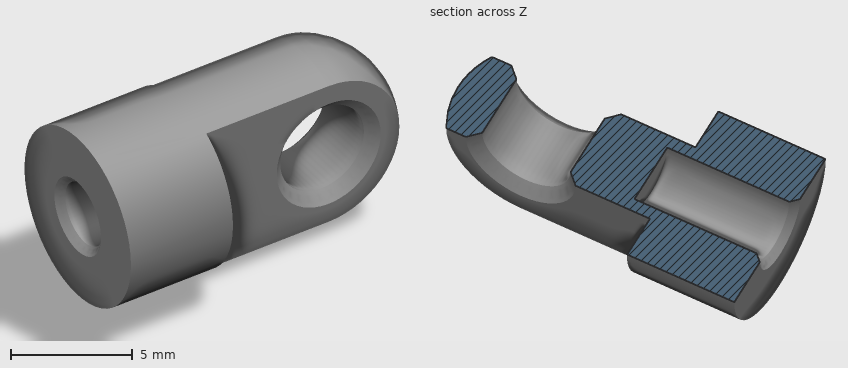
import cadquery as cq

body_diameter = 8.0
overall_length = 15.0
body_radius = body_diameter / 2
dome_center_y = overall_length - body_radius

collar_length = 5.0
tongue_thickness = 4.0

eye_diameter = 4.1
eye_chamfer = 0.5

bore_diameter = 2.85
bore_mouth_diameter = 3.5
bore_depth = 6.0
bore_chamfer = (bore_mouth_diameter - bore_diameter) / 2


def domed_body():
    """Cylinder ending in a hemisphere, revolved about the Y axis."""
    dome_mid = body_radius * 0.5 ** 0.5
    return (
        cq.Workplane("XY")
        .lineTo(body_radius, 0)
        .lineTo(body_radius, dome_center_y)
        .threePointArc((dome_mid, dome_center_y + dome_mid), (0, overall_length))
        .close()
        .revolve(360, (0, 0, 0), (0, 1, 0))
    )


def tongue_side_cut(side):
    """Block that removes one side of the body beyond the collar (side is -1 or +1)."""
    cut_width = body_radius
    cut_length = overall_length - collar_length
    return (
        cq.Workplane("XY")
        .box(cut_width, cut_length, body_diameter)
        .translate((side * (tongue_thickness + cut_width) / 2, collar_length + cut_length / 2, 0))
    )


def chamfered_eye():
    """Through hole along X, widened by a chamfer at both tongue faces."""
    half_thickness = tongue_thickness / 2
    hole_radius = eye_diameter / 2
    mouth_radius = hole_radius + eye_chamfer
    return (
        cq.Workplane("XY")
        .moveTo(-half_thickness, dome_center_y)
        .lineTo(-half_thickness, dome_center_y + mouth_radius)
        .lineTo(-half_thickness + eye_chamfer, dome_center_y + hole_radius)
        .lineTo(half_thickness - eye_chamfer, dome_center_y + hole_radius)
        .lineTo(half_thickness, dome_center_y + mouth_radius)
        .lineTo(half_thickness, dome_center_y)
        .close()
        .revolve(360, (0, dome_center_y, 0), (1, dome_center_y, 0))
    )


def chamfered_bore():
    """Flat-bottomed blind hole along Y with a chamfered mouth."""
    return (
        cq.Workplane("XY")
        .lineTo(bore_mouth_diameter / 2, 0)
        .lineTo(bore_diameter / 2, bore_chamfer)
        .lineTo(bore_diameter / 2, bore_depth)
        .lineTo(0, bore_depth)
        .close()
        .revolve(360, (0, 0, 0), (0, 1, 0))
    )


result = domed_body()
for side in (-1, 1):
    result = result.cut(tongue_side_cut(side))
result = result.cut(chamfered_eye()).cut(chamfered_bore())